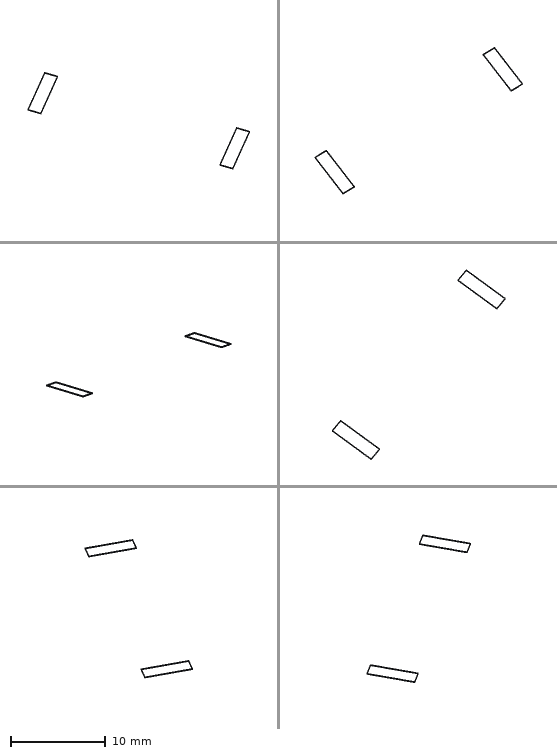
import cadquery as cq

overall_length = 23.15
strip_width = 1.45
strip_length = 5.25
strip_thickness = 0.1

strip_offset = (overall_length - strip_width) / 2


def contact_strip(center_x):
    """Flat rectangular strip lying on the XY plane, long side along Y."""
    return (
        cq.Workplane("XY")
        .center(center_x, 0)
        .rect(strip_width, strip_length)
        .extrude(strip_thickness)
    )


contact_strips = [contact_strip(side * strip_offset) for side in (-1, 1)]

result = cq.Compound.makeCompound([strip.val() for strip in contact_strips])